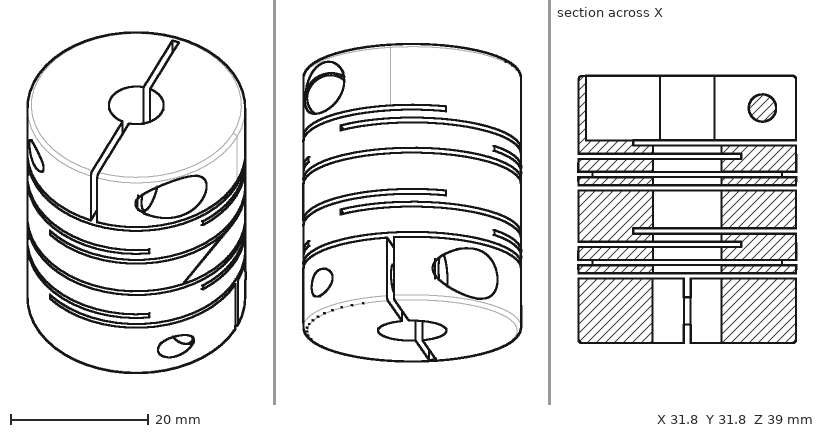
import cadquery as cq


length = 39.0
outer_radius = 31.8 / 2
edge_fillet = 0.6
upper_bore_diameter = 8.0
lower_bore_diameter = 10.0

slot_width = 0.75
hub_length = 9.45
pair_pitch = 1.95
quarter_pitch = 2.65
group_pitch = 12.85
slot_reach = 7.85

slit_width = 1.0
slit_reach = 14.75

screw_offset = 10.95
screw_height = hub_length / 2
shank_diameter = 4.0
tip_chamfer = 0.3
tip_position = -8.8
head_diameter = 7.5
head_chamfer = 0.45
head_seat = 2.73
head_top = 6.82

half_length = length / 2


def make_body():
    """Solid cylinder with rounded rims and a stepped bore."""
    body = cq.Workplane("XY").workplane(offset=-half_length).circle(outer_radius).extrude(length)
    body = body.faces("<Z or >Z").edges().fillet(edge_fillet)
    body = body.faces(">Z").workplane().circle(upper_bore_diameter / 2).cutThruAll()
    lower_bore_length = length - hub_length
    lower_bore = (
        cq.Workplane("XY")
        .workplane(offset=-half_length)
        .circle(lower_bore_diameter / 2)
        .extrude(lower_bore_length)
    )
    return body.cut(lower_bore)


def make_slot(top, angle):
    """Slot open toward -Y, then turned by the angle about the axis."""
    return (
        cq.Workplane("XY")
        .box(2 * length, length, slot_width, centered=(True, False, False))
        .translate((0, slot_reach - length, top - slot_width))
        .rotate((0, 0, 0), (0, 0, 1), angle)
    )


def make_slots():
    """Two groups of four slots, open toward -Y, +Y, -X and +X from the top down."""
    drops = [0, pair_pitch, pair_pitch + quarter_pitch, 2 * pair_pitch + quarter_pitch]
    angles = [0, 180, -90, 90]
    slots = cq.Workplane("XY")
    for group in range(2):
        group_top = half_length - hub_length - group * group_pitch
        for drop, angle in zip(drops, angles):
            slots = slots.add(make_slot(group_top - drop, angle))
    return slots.combine()


def along_screw(diameter, start, end):
    """Cylinder on the upper screw axis between two X positions."""
    return (
        cq.Workplane("YZ")
        .workplane(offset=start)
        .center(-screw_offset, half_length - screw_height)
        .circle(diameter / 2)
        .extrude(end - start)
    )


def make_clamp_cut():
    """Upper slit open toward -Y, with the screw hole and its counterbore."""
    slit = (
        cq.Workplane("XY")
        .box(slit_width, length, hub_length, centered=(True, False, False))
        .translate((0, slit_reach - length, half_length - hub_length))
    )
    hole = along_screw(shank_diameter, -length, head_seat)
    counterbore = along_screw(head_diameter, head_seat, length)
    return slit.union(hole).union(counterbore)


def make_screw():
    """Upper screw: tip recessed on the -X side, head on the +X side."""
    shank = along_screw(shank_diameter, tip_position, head_seat)
    shank = shank.faces("<X").chamfer(tip_chamfer)
    head = along_screw(head_diameter, head_seat, head_top)
    head = head.faces(">X").chamfer(head_chamfer)
    return shank.union(head)


def to_lower_hub(shape):
    """Upper clamp feature turned a quarter turn and mirrored to the lower end."""
    return shape.rotate((0, 0, 0), (0, 0, 1), 90).mirror("XY")


clamp_cut = make_clamp_cut()
screw = make_screw()
result = make_body().cut(make_slots())
result = result.cut(clamp_cut).cut(to_lower_hub(clamp_cut))
result = result.union(screw).union(to_lower_hub(screw))